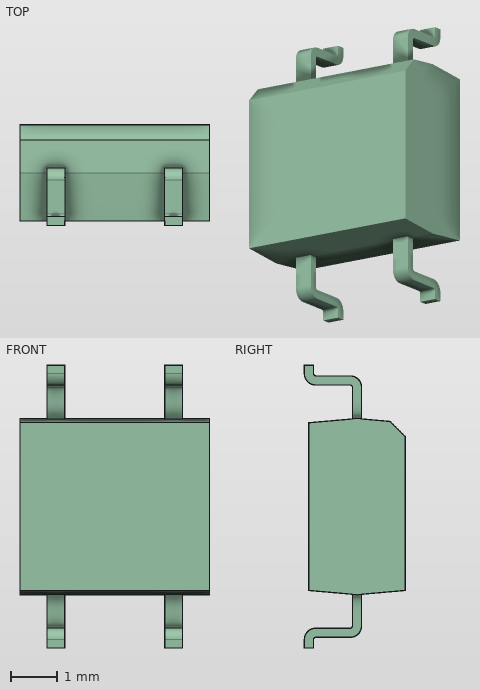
import cadquery as cq

HOUSING_WIDTH = 4.09
HOUSING_DEPTH = 2.08
RIDGE_HEIGHT = 3.8
END_RISE = 0.09
CHAMFER_SIZE = 0.33

LEAD_THICKNESS = 0.2
LEAD_WIDTH = 0.39
LEAD_PITCH = 2.54
SPAN = 6.1
TIP_STEP = 0.23
STANDOFF = 0.1
INNER_BEND = 0.05
OUTER_BEND = INNER_BEND + LEAD_THICKNESS

half_depth = HOUSING_DEPTH / 2
ridge_z = RIDGE_HEIGHT / 2
edge_z = ridge_z - END_RISE
tip_z = SPAN / 2
front_y = -half_depth - STANDOFF


def make_housing():
    """Extrude the six-sided YZ outline along X and bevel one edge."""
    chamfer_y = half_depth - CHAMFER_SIZE
    chamfer_top_z = ridge_z - END_RISE * chamfer_y / half_depth
    outline = [
        (-half_depth, -edge_z),
        (0, -ridge_z),
        (half_depth, -edge_z),
        (half_depth, chamfer_top_z - CHAMFER_SIZE),
        (chamfer_y, chamfer_top_z),
        (0, ridge_z),
        (-half_depth, edge_z),
    ]
    return cq.Workplane("YZ").polyline(outline).close().extrude(HOUSING_WIDTH / 2, both=True)


def bend_lead(x, housing):
    """Make one upper lead centred at x, with its foot fitted to the housing end."""
    half_thickness = LEAD_THICKNESS / 2
    run_top_z = tip_z - TIP_STEP
    run_bottom_z = run_top_z - LEAD_THICKNESS
    tip_back_y = front_y + LEAD_THICKNESS
    outline = [
        (half_thickness, edge_z),
        (half_thickness, run_top_z),
        (tip_back_y, run_top_z),
        (tip_back_y, tip_z),
        (front_y, tip_z),
        (front_y, run_bottom_z),
        (-half_thickness, run_bottom_z),
        (-half_thickness, edge_z),
    ]
    strip = (
        cq.Workplane("YZ", origin=(x, 0, 0))
        .polyline(outline)
        .close()
        .extrude(LEAD_WIDTH / 2, both=True)
    )
    bends = [
        (half_thickness, run_top_z, OUTER_BEND),
        (-half_thickness, run_bottom_z, INNER_BEND),
        (tip_back_y, run_top_z, INNER_BEND),
        (front_y, run_bottom_z, OUTER_BEND),
    ]
    for y, z, radius in bends:
        corner = cq.selectors.NearestToPointSelector((x, y, z))
        strip = strip.edges("|X").edges(corner).fillet(radius)
    return strip.cut(housing)


housing = make_housing()

leads = []
for x in (-LEAD_PITCH / 2, LEAD_PITCH / 2):
    lead = bend_lead(x, housing)
    leads.append(lead.solids().val())
    leads.append(lead.mirror("XY").solids().val())

result = cq.Compound.makeCompound([housing.solids().val(), *leads])